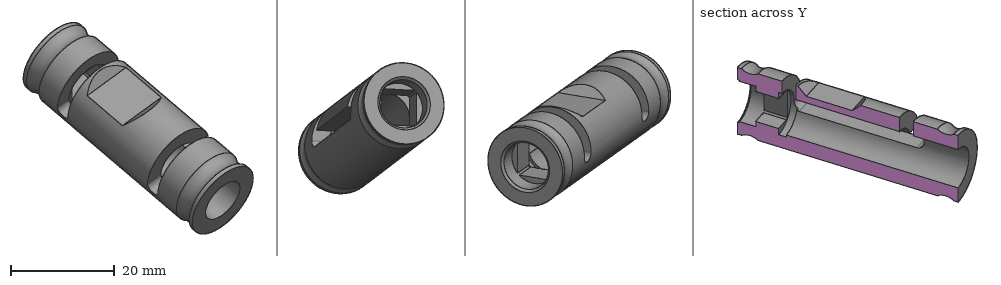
import cadquery as cq

length = 48.0
outer_diameter = 16.0
outer_radius = outer_diameter / 2

end_land = 0.9
groove_width = 3.6
groove_depth = 0.6

entry_diameter = 9.5
entry_depth = 4.0
entry_chamfer = 0.5
square_side = 7.05
square_end = 9.0
relief_diameter = 10.0
relief_end = 10.65
bore_diameter = 9.0

slot_width = 3.0
slot_inset = 11.25
slot_centers = (slot_inset, length - slot_inset)
slot_spacing = slot_centers[1] - slot_centers[0]

flat_center = 20.0
flat_length = 10.0
flat_depth = 1.8

cut_reach = 2 * outer_diameter


def bore(diameter, start, end):
    """Cylinder on the sleeve axis between two X positions."""
    return cq.Workplane("YZ", origin=(start, 0, 0)).circle(diameter / 2).extrude(end - start)


def sleeve_body():
    left_start = end_land
    left_end = end_land + groove_width
    groove_radius = outer_radius - groove_depth
    profile = (
        cq.Workplane("XY")
        .lineTo(0, outer_radius)
        .lineTo(left_start, outer_radius)
        .threePointArc(((left_start + left_end) / 2, groove_radius), (left_end, outer_radius))
        .lineTo(length - left_end, outer_radius)
        .threePointArc(
            (length - (left_start + left_end) / 2, groove_radius),
            (length - left_start, outer_radius),
        )
        .lineTo(length, outer_radius)
        .lineTo(length, 0)
        .close()
    )
    return profile.revolve(360, (0, 0, 0), (1, 0, 0))


def entry_cone():
    entry_radius = entry_diameter / 2
    return (
        cq.Workplane("XY")
        .lineTo(0, entry_radius + entry_chamfer)
        .lineTo(entry_chamfer, entry_radius)
        .lineTo(entry_chamfer, 0)
        .close()
        .revolve(360, (0, 0, 0), (1, 0, 0))
    )


def square_drive():
    """Square hole with its corners rounded to the entry diameter."""
    square = (
        cq.Workplane("YZ", origin=(entry_depth, 0, 0))
        .rect(square_side, square_side)
        .extrude(square_end - entry_depth)
    )
    return square.intersect(bore(entry_diameter, entry_depth, square_end))


def cross_slot(center):
    half_width = slot_width / 2
    return (
        cq.Workplane("XZ")
        .moveTo(center - half_width, cut_reach)
        .lineTo(center - half_width, 0)
        .threePointArc((center, -half_width), (center + half_width, 0))
        .lineTo(center + half_width, cut_reach)
        .close()
        .extrude(cut_reach, both=True)
    )


def side_window():
    """Frees the +Y edge of the tongue between the slot centers."""
    return (
        cq.Workplane("XY")
        .box(slot_spacing, cut_reach, slot_width, centered=(False, False, True))
        .translate((slot_centers[0], 0, 0))
    )


def tongue_flat():
    half_length = flat_length / 2
    floor = outer_radius - flat_depth
    slope_run = 2 * flat_depth
    return (
        cq.Workplane("XZ")
        .moveTo(flat_center - half_length, floor)
        .lineTo(flat_center + half_length, floor)
        .lineTo(flat_center + half_length + slope_run, floor + slope_run)
        .lineTo(flat_center - half_length - slope_run, floor + slope_run)
        .close()
        .extrude(cut_reach, both=True)
    )


result = (
    sleeve_body()
    .cut(bore(entry_diameter, 0, entry_depth))
    .cut(entry_cone())
    .cut(square_drive())
    .cut(bore(relief_diameter, square_end, relief_end))
    .cut(bore(bore_diameter, relief_end, length))
)
for slot_center in slot_centers:
    result = result.cut(cross_slot(slot_center))
result = result.cut(side_window()).cut(tongue_flat())